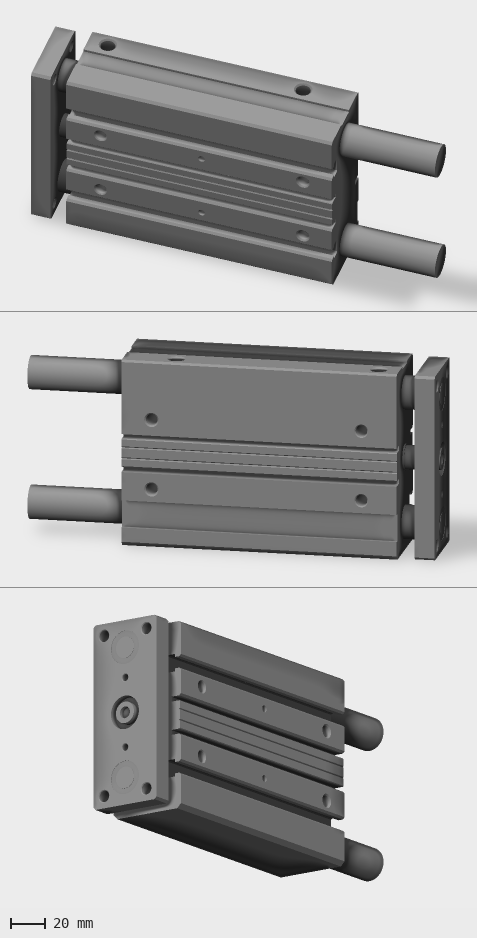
import cadquery as cq
import math


TOTAL_LENGTH = 243.0
PLATE_THICKNESS = 12.0
PLATE_GAP = 10.2
HOUSING_LENGTH = 162.5
HOUSING_FRONT = PLATE_THICKNESS + PLATE_GAP

PLATE_WIDTH = 45.0
PLATE_HEIGHT = 110.5
PLATE_CHAMFER = 1.5
PLATE_SCREW_SPACING_Y = 30.1
PLATE_SCREW_SPACING_Z = 96.0
PLATE_SCREW_DIAMETER = 6.8
PLATE_SCREW_MOUTH = 7.8
RECESS_DIAMETER = 20.0
GUIDE_RECESS_DEPTH = 0.2
PISTON_RECESS_DEPTH = 4.9

GUIDE_ROD_DIAMETER = 20.0
GUIDE_ROD_SPACING = 78.0
PISTON_ROD_DIAMETER = 14.0
PISTON_ROD_REACH = 48.5
NECK_DIAMETER = 13.0
SOCKET_DIAMETER = 7.0
SOCKET_DEPTH = 3.5

HOUSING_WIDTH = 48.0
HOUSING_HEIGHT = 112.0
FRONT_TOP_CHAMFER = 1.5
BACK_TOP_CHAMFER = 1.2
BOTTOM_CHAMFER = 2.7
TOP_GROOVE_WIDTH = 13.4
TOP_GROOVE_DEPTH = 1.5
COLLAR_DIAMETER = 15.5
COLLAR_LENGTH = 1.0

T_SLOT_SPACING = 63.0
T_SLOT_MOUTH = 6.8
T_SLOT_HEAD = 10.5
T_SLOT_LIP = 4.4
T_SLOT_DEPTH = 9.7
T_SLOT_CHAMFER = 1.2
T_SLOT_HEAD_CHAMFER = 0.7

BAND_HALF_WIDTH = 8.0
BAND_DEPTH = 0.7
BAND_SLOT_EDGE = 11.5
BAND_SLOT_CHAMFER = 1.2
BAND_SLOT_DEPTH = 6.8
BAND_BEVEL = 0.5
V_GROOVE_SPACING = 6.5
V_GROOVE_WIDTH = 1.2

BACK_RECESS_TOP_Z = -28.5
BACK_RECESS_BOTTOM_Z = -44.7
BACK_RECESS_DEPTH = 2.5

MOUNT_SPACING_Z = 41.8
FRONT_MOUNT_X = 43.0
REAR_MOUNT_X = 167.0
MOUNT_DIAMETER = 6.8
FRONT_MOUNT_MOUTH = 8.0
REAR_MOUNT_MOUTH = 8.5

DOWEL_X = 105.0
DOWEL_DIAMETER = 4.1
PLATE_DOWEL_MOUTH = 4.9
DOWEL_DEPTH = 6.0
DRILL_POINT_ANGLE = 118.0

PORTS_X = (34.3, 153.8)
PORT_Y = 15.0
PORT_MOUTH = 10.7
PORT_DIAMETER = 8.7
PORT_DEPTH = 8.5
PORT_FEED_DIAMETER = 3.0
PORT_FEED_DEPTH = 12.2

HALF_WIDTH = HOUSING_WIDTH / 2
HALF_HEIGHT = HOUSING_HEIGHT / 2
GUIDE_ROD_Z = (GUIDE_ROD_SPACING / 2, -GUIDE_ROD_SPACING / 2)
MOUNT_Z = (MOUNT_SPACING_Z / 2, -MOUNT_SPACING_Z / 2)

INTO_PLATE = cq.Vector(1, 0, 0)
INTO_FRONT = cq.Vector(0, 1, 0)
INTO_BACK = cq.Vector(0, -1, 0)
INTO_TOP = cq.Vector(0, 0, -1)


def cylinder(diameter, length, start, direction):
    return cq.Workplane(cq.Solid.makeCylinder(diameter / 2, length, start, direction))


def cone(start_diameter, end_diameter, length, start, direction):
    return cq.Workplane(cq.Solid.makeCone(start_diameter / 2, end_diameter / 2, length, start, direction))


def rod_along_x(diameter, x_start, x_end, z):
    return cylinder(diameter, x_end - x_start, cq.Vector(x_start, 0, z), INTO_PLATE)


def countersink(mouth, diameter, start, direction):
    """A 45-degree cone that widens a hole to the mouth diameter."""
    return cone(mouth, diameter, (mouth - diameter) / 2, start, direction)


def drill_tip(diameter, end_diameter, start, direction):
    """The conical bottom that a drill leaves, cut off at the end diameter."""
    length = (diameter - end_diameter) / 2 / math.tan(math.radians(DRILL_POINT_ANGLE / 2))
    return cone(diameter, end_diameter, length, start, direction)


def dowel_hole(start, direction):
    straight = cylinder(DOWEL_DIAMETER, DOWEL_DEPTH, start, direction)
    return straight.union(drill_tip(DOWEL_DIAMETER, 0, start + direction * DOWEL_DEPTH, direction))


def housing_prism(points):
    """A (Y, Z) outline extruded over the length of the housing."""
    return cq.Workplane("YZ", origin=(HOUSING_FRONT, 0, 0)).polyline(points).close().extrude(HOUSING_LENGTH)


def housing_bar(y_start, y_end, z_start, z_end):
    return housing_prism([(y_start, z_start), (y_end, z_start), (y_end, z_end), (y_start, z_end)])



def make_guide_rod(z):
    rod = rod_along_x(GUIDE_ROD_DIAMETER, PLATE_THICKNESS, TOTAL_LENGTH, z)
    return rod.union(rod_along_x(NECK_DIAMETER, 0, PLATE_THICKNESS, z))



def make_piston_rod():
    rod = rod_along_x(PISTON_ROD_DIAMETER, PLATE_THICKNESS, PISTON_ROD_REACH, 0)
    rod = rod.union(rod_along_x(NECK_DIAMETER, 0, PLATE_THICKNESS, 0))
    return rod.cut(rod_along_x(SOCKET_DIAMETER, 0, SOCKET_DEPTH, 0))



def plate_screw_hole(y, z):
    start = cq.Vector(0, y, z)
    hole = cylinder(PLATE_SCREW_DIAMETER, PLATE_THICKNESS, start, INTO_PLATE)
    return hole.union(countersink(PLATE_SCREW_MOUTH, PLATE_SCREW_DIAMETER, start, INTO_PLATE))


def make_plate():
    plate = cq.Workplane("YZ").rect(PLATE_WIDTH, PLATE_HEIGHT).extrude(PLATE_THICKNESS)
    plate = plate.edges("|X").chamfer(PLATE_CHAMFER)
    for z in (*GUIDE_ROD_Z, 0):
        recess_depth = GUIDE_RECESS_DEPTH if z else PISTON_RECESS_DEPTH
        plate = plate.cut(rod_along_x(NECK_DIAMETER, 0, PLATE_THICKNESS, z))
        plate = plate.cut(rod_along_x(RECESS_DIAMETER, 0, recess_depth, z))
    for side_y in (-1, 1):
        for side_z in (-1, 1):
            plate = plate.cut(
                plate_screw_hole(side_y * PLATE_SCREW_SPACING_Y / 2, side_z * PLATE_SCREW_SPACING_Z / 2)
            )
    for z in MOUNT_Z:
        start = cq.Vector(0, 0, z)
        plate = plate.cut(dowel_hole(start, INTO_PLATE))
        plate = plate.cut(countersink(PLATE_DOWEL_MOUTH, DOWEL_DIAMETER, start, INTO_PLATE))
    return plate



def housing_blank():
    return housing_prism([
        (-HALF_WIDTH, HALF_HEIGHT - FRONT_TOP_CHAMFER),
        (-HALF_WIDTH + FRONT_TOP_CHAMFER, HALF_HEIGHT),
        (HALF_WIDTH - BACK_TOP_CHAMFER, HALF_HEIGHT),
        (HALF_WIDTH, HALF_HEIGHT - BACK_TOP_CHAMFER),
        (HALF_WIDTH, -HALF_HEIGHT + BOTTOM_CHAMFER),
        (HALF_WIDTH - BOTTOM_CHAMFER, -HALF_HEIGHT),
        (-HALF_WIDTH + BOTTOM_CHAMFER, -HALF_HEIGHT),
        (-HALF_WIDTH, -HALF_HEIGHT + BOTTOM_CHAMFER),
    ])


def t_slot(center_z):
    half_profile = [
        (-HALF_WIDTH, T_SLOT_MOUTH / 2 + T_SLOT_CHAMFER),
        (-HALF_WIDTH + T_SLOT_CHAMFER, T_SLOT_MOUTH / 2),
        (-HALF_WIDTH + T_SLOT_LIP, T_SLOT_MOUTH / 2),
        (-HALF_WIDTH + T_SLOT_LIP, T_SLOT_HEAD / 2),
        (-HALF_WIDTH + T_SLOT_DEPTH - T_SLOT_HEAD_CHAMFER, T_SLOT_HEAD / 2),
        (-HALF_WIDTH + T_SLOT_DEPTH, T_SLOT_HEAD / 2 - T_SLOT_HEAD_CHAMFER),
    ]
    upper = [(y, center_z + offset) for y, offset in half_profile]
    lower = [(y, center_z - offset) for y, offset in reversed(half_profile)]
    return housing_prism(upper + lower)


def ribbed_band():
    """The sunken band of the -Y face with its two edge slots and two V-grooves."""
    band_y = -HALF_WIDTH + BAND_DEPTH
    band = housing_bar(-HALF_WIDTH, band_y, -BAND_SLOT_EDGE, BAND_SLOT_EDGE)
    for side in (-1, 1):
        slot = housing_prism([
            (band_y, side * BAND_SLOT_EDGE),
            (-HALF_WIDTH + BAND_SLOT_DEPTH, side * BAND_SLOT_EDGE),
            (-HALF_WIDTH + BAND_SLOT_DEPTH, side * (BAND_HALF_WIDTH + BAND_BEVEL)),
            (band_y + BAND_BEVEL, side * (BAND_HALF_WIDTH + BAND_BEVEL)),
            (band_y, side * BAND_HALF_WIDTH),
        ])
        groove_z = side * V_GROOVE_SPACING / 2
        groove = housing_prism([
            (band_y, groove_z - V_GROOVE_WIDTH / 2),
            (band_y + V_GROOVE_WIDTH / 2, groove_z),
            (band_y, groove_z + V_GROOVE_WIDTH / 2),
        ])
        band = band.union(slot).union(groove)
    return band


def band_edge_chamfer(side):
    """The chamfer between the -Y face and the outer wall of one band slot."""
    return housing_prism([
        (-HALF_WIDTH, side * BAND_SLOT_EDGE),
        (-HALF_WIDTH, side * (BAND_SLOT_EDGE + BAND_SLOT_CHAMFER)),
        (-HALF_WIDTH + BAND_SLOT_CHAMFER, side * BAND_SLOT_EDGE),
    ])


def mount_hole(x, z, mouth):
    front = cq.Vector(x, -HALF_WIDTH, z)
    back = cq.Vector(x, HALF_WIDTH, z)
    hole = cylinder(MOUNT_DIAMETER, HOUSING_WIDTH, front, INTO_FRONT)
    hole = hole.union(countersink(mouth, MOUNT_DIAMETER, front, INTO_FRONT))
    return hole.union(countersink(mouth, MOUNT_DIAMETER, back, INTO_BACK))


def air_port(x):
    start = cq.Vector(x, PORT_Y, HALF_HEIGHT)
    port = cylinder(PORT_DIAMETER, PORT_DEPTH, start, INTO_TOP)
    port = port.union(countersink(PORT_MOUTH, PORT_DIAMETER, start, INTO_TOP))
    port = port.union(drill_tip(PORT_DIAMETER, PORT_FEED_DIAMETER, start + INTO_TOP * PORT_DEPTH, INTO_TOP))
    return port.union(cylinder(PORT_FEED_DIAMETER, PORT_FEED_DEPTH, start, INTO_TOP))


def make_housing():
    housing = housing_blank()
    housing = housing.cut(
        housing_bar(-TOP_GROOVE_WIDTH / 2, TOP_GROOVE_WIDTH / 2, HALF_HEIGHT - TOP_GROOVE_DEPTH, HALF_HEIGHT)
    )

    for side in (-1, 1):
        housing = housing.cut(t_slot(side * T_SLOT_SPACING / 2)).cut(band_edge_chamfer(side))

    front_band = ribbed_band()
    housing = housing.cut(front_band).cut(front_band.mirror("XZ"))
    housing = housing.cut(housing_bar(
        HALF_WIDTH - BACK_RECESS_DEPTH,
        HALF_WIDTH,
        BACK_RECESS_BOTTOM_Z,
        BACK_RECESS_TOP_Z,
    ))

    for z in MOUNT_Z:
        housing = housing.cut(mount_hole(FRONT_MOUNT_X, z, FRONT_MOUNT_MOUTH))
        housing = housing.cut(mount_hole(REAR_MOUNT_X, z, REAR_MOUNT_MOUTH))
        housing = housing.cut(dowel_hole(cq.Vector(DOWEL_X, -HALF_WIDTH, z), INTO_FRONT))
    for x in PORTS_X:
        housing = housing.cut(air_port(x))

    collar = rod_along_x(COLLAR_DIAMETER, HOUSING_FRONT - COLLAR_LENGTH, HOUSING_FRONT, 0)
    housing = housing.union(collar)
    housing = housing.cut(rod_along_x(PISTON_ROD_DIAMETER, 0, PISTON_ROD_REACH, 0))
    for z in GUIDE_ROD_Z:
        housing = housing.cut(rod_along_x(GUIDE_ROD_DIAMETER, 0, TOTAL_LENGTH, z))
    return housing


plate = make_plate()
housing = make_housing()
piston_rod = make_piston_rod()
guide_rods = [make_guide_rod(z) for z in GUIDE_ROD_Z]

result = cq.Compound.makeCompound([
    plate.val(),
    housing.val(),
    piston_rod.val(),
    *[rod.val() for rod in guide_rods],
])